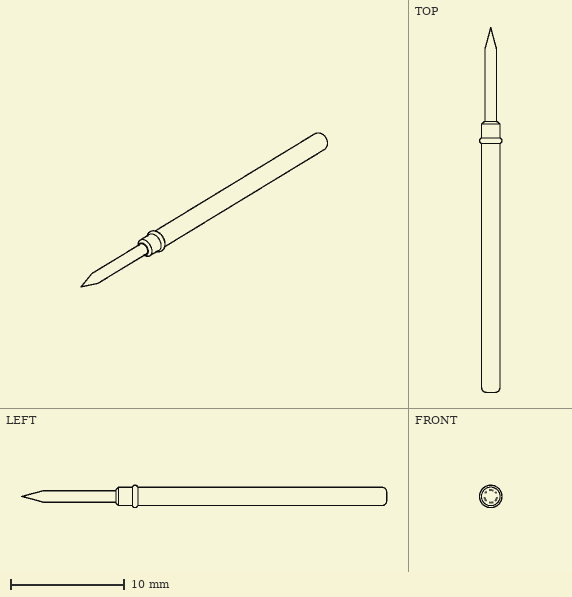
import cadquery as cq

total_length = 32.3
tip_length = 1.9
rod_length = 6.43
collar_start = 22.03
collar_width = 0.5

rod_diameter = 1.03
sleeve_diameter = 1.65
collar_diameter = 2.0

blunt_end_fillet = 0.45
shoulder_chamfer = 0.23

rod_radius = rod_diameter / 2
sleeve_radius = sleeve_diameter / 2
collar_radius = collar_diameter / 2
rod_end = total_length - tip_length
sleeve_length = rod_end - rod_length


def cylinder_along_y(radius, start, end):
    """Solid cylinder centred on the Y axis between two positions."""
    return cq.Workplane("XZ", origin=(0, start, 0)).circle(radius).extrude(start - end)


def make_sleeve():
    """Main barrel, rounded at the blunt end and chamfered at the shoulder."""
    barrel = cylinder_along_y(sleeve_radius, 0, sleeve_length)
    barrel = barrel.faces("<Y").edges().fillet(blunt_end_fillet)
    return barrel.faces(">Y").edges().chamfer(shoulder_chamfer)


def make_collar():
    """Rounded ring around the sleeve, arc-shaped in section."""
    middle = collar_start + collar_width / 2
    end = collar_start + collar_width
    return (
        cq.Workplane("XY")
        .moveTo(0, collar_start)
        .lineTo(sleeve_radius, collar_start)
        .threePointArc((collar_radius, middle), (sleeve_radius, end))
        .lineTo(0, end)
        .close()
        .revolve(360, (0, 0, 0), (0, 1, 0))
    )


def make_probe():
    """Slim rod with a pointed conical tip, seated on the sleeve shoulder."""
    return (
        cq.Workplane("XY")
        .moveTo(0, sleeve_length)
        .lineTo(rod_radius, sleeve_length)
        .lineTo(rod_radius, rod_end)
        .lineTo(0, total_length)
        .close()
        .revolve(360, (0, 0, 0), (0, 1, 0))
    )


result = make_sleeve().union(make_collar()).union(make_probe())